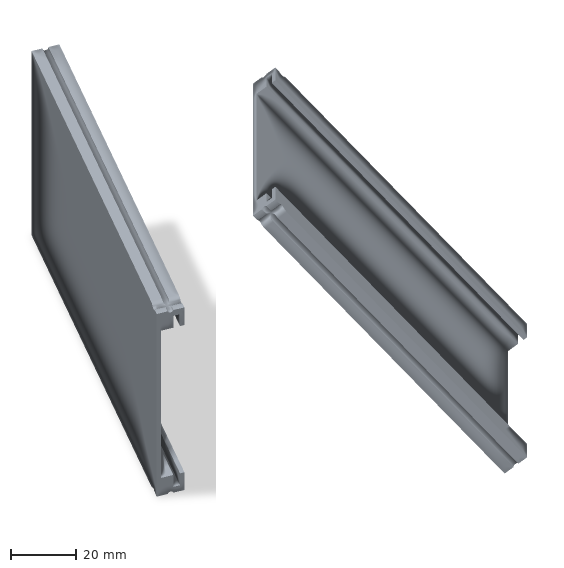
import cadquery as cq
import math

length = 120.0
depth = 9.0
height = 80.0

wall = 1.5
rail_height = 8.0
slot_width = 2.2
rail_top_thickness = 2.9

groove_radius = 1.0
groove_center_drop = 0.1
groove_from_end = 3.1
lead_in_radius = 4.0 / 2

lip_start_drop = 0.7
lip_mid_drop = 0.4
lip_end_drop = 0.4

half_height = height / 2
groove_z = half_height - groove_center_drop
rail_bottom = half_height - rail_height
slot_top = half_height - rail_top_thickness
slot_outer = depth - wall
slot_inner = slot_outer - slot_width


def make_panel():
    """Panel with a slotted rail along its top and bottom edges."""
    upper_half = [
        (0, 0),
        (0, half_height),
        (depth, half_height),
        (depth, rail_bottom),
        (slot_outer, rail_bottom),
        (slot_outer, slot_top),
        (slot_inner, slot_top),
        (slot_inner, rail_bottom),
        (wall, rail_bottom),
        (wall, 0),
    ]
    half = cq.Workplane("YZ").polyline(upper_half).close().extrude(length)
    return half.union(half.mirror("XY"))


def make_long_groove():
    """Round-bottomed groove running the full length of the top edge."""
    return (
        cq.Workplane("YZ")
        .moveTo(depth / 2 - groove_radius, half_height)
        .lineTo(depth / 2 - groove_radius, groove_z)
        .threePointArc(
            (depth / 2, groove_z - groove_radius),
            (depth / 2 + groove_radius, groove_z),
        )
        .lineTo(depth / 2 + groove_radius, half_height)
        .close()
        .extrude(length)
    )


def make_end_relief():
    """Cross groove with a rounded lead-in and a low rounded lip at the +X end."""
    groove_x = length - groove_from_end
    center_distance = groove_radius + lead_in_radius
    contact_angle = math.acos((lead_in_radius - groove_center_drop) / center_distance)
    lead_in_x = groove_x - center_distance * math.sin(contact_angle)
    lead_in_z = half_height - lead_in_radius

    def lead_in_point(angle):
        return (
            lead_in_x + lead_in_radius * math.sin(angle),
            lead_in_z + lead_in_radius * math.cos(angle),
        )

    lip_x = groove_x + math.sqrt(groove_radius**2 - (lip_start_drop - groove_center_drop)**2)
    return (
        cq.Workplane("XZ")
        .moveTo(lead_in_x, half_height)
        .threePointArc(lead_in_point(contact_angle / 2), lead_in_point(contact_angle))
        .threePointArc(
            (groove_x, groove_z - groove_radius),
            (lip_x, half_height - lip_start_drop),
        )
        .threePointArc(
            ((lip_x + length) / 2, half_height - lip_mid_drop),
            (length, half_height - lip_end_drop),
        )
        .lineTo(length, half_height)
        .close()
        .extrude(-depth)
    )


edge_cuts = make_long_groove().union(make_end_relief())
result = make_panel().cut(edge_cuts).cut(edge_cuts.mirror("XY"))
result = result.translate((-length / 2, -depth / 2, 0))